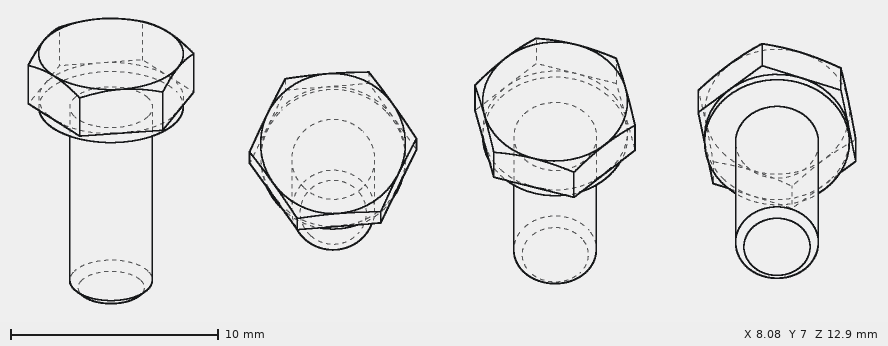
import cadquery as cq
import math

total_length = 12.93
shank_length = 10.0
shank_diameter = 4.0
tip_chamfer = 0.4
flange_thickness = 0.5
across_flats = 7.0
flange_diameter = 6.98
head_chamfer_angle = 30.0

head_height = total_length - shank_length - flange_thickness
across_corners = across_flats / math.cos(math.radians(30))
top_face_radius = flange_diameter / 2
corner_radius = across_corners / 2
corner_drop = (corner_radius - top_face_radius) * math.tan(math.radians(head_chamfer_angle))


def make_shank():
    """Round shank below Z = 0 with a chamfered tip."""
    shank = cq.Workplane("XY").circle(shank_diameter / 2).extrude(-shank_length)
    return shank.faces("<Z").chamfer(tip_chamfer)


def make_flange():
    """Round bearing collar under the hexagon."""
    return cq.Workplane("XY").circle(flange_diameter / 2).extrude(flange_thickness)


def make_head():
    """Hexagon with corners on the X axis, trimmed by a cone at the top."""
    hexagon = (
        cq.Workplane("XY")
        .workplane(offset=flange_thickness)
        .polygon(6, across_corners)
        .extrude(head_height)
    )
    head_top = flange_thickness + head_height
    cone_envelope = (
        cq.Workplane("XZ")
        .moveTo(0, flange_thickness)
        .lineTo(corner_radius, flange_thickness)
        .lineTo(corner_radius, head_top - corner_drop)
        .lineTo(top_face_radius, head_top)
        .lineTo(0, head_top)
        .close()
        .revolve(360, (0, 0), (0, 1))
    )
    return hexagon.intersect(cone_envelope)


result = make_shank().union(make_flange()).union(make_head())